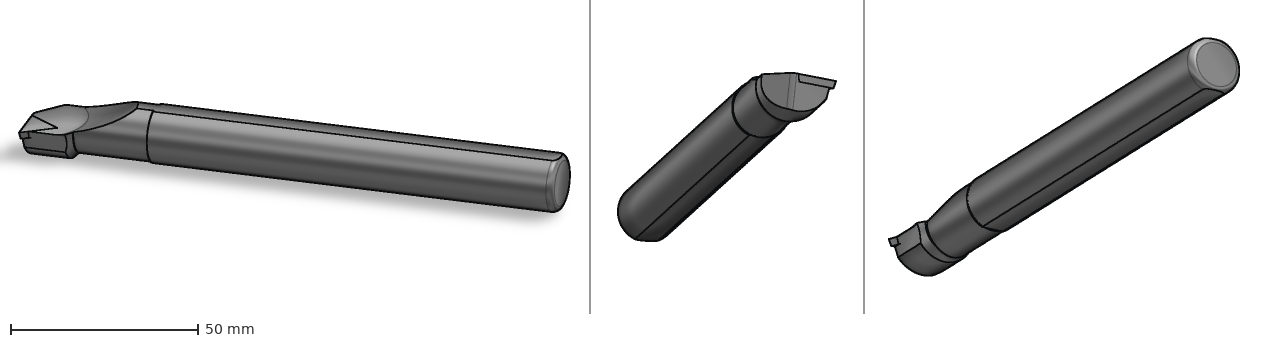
import cadquery as cq
import math

total_length = 150.0
shank_start = 35.1
shank_diameter = 16.0
flat_height = 7.4
end_round_radius = 1.8

neck_diameter = 15.5
neck_start = 10.5
head_radius = 9.0
head_center_y = -1.2
head_length = 12.3
head_cone_length = 2.0

rake_angle = 7.0
rake_height = 1.14
clearance_angle = 7.0
side_flat_y = -9.9
bevel_front_y = 0.9
bevel_back_x = 6.8
bevel_back_y = 7.6
nose_radius = 2.2

scoop_center_x = 4.2
scoop_center_y = -0.6
scoop_floor_radius = 11.1
scoop_run = 17.0
scoop_rise = 7.8
scoop_sag = 0.9

insert_side = 10.5
triangle_angle = 60.0
insert_tip_y = -11.1
insert_thickness = 2.1
insert_clearance_angle = 7.0

reach = 30.0

shank_radius = shank_diameter / 2
rake_plane = cq.Plane(
    origin=(0, 0, rake_height),
    xDir=(1, 0, 0),
    normal=(0, -math.sin(math.radians(rake_angle)), math.cos(math.radians(rake_angle))),
)


def along_x(start):
    """Sketch plane across the bar, with local x along Y and local y along Z."""
    return cq.Workplane("YZ", origin=(start, 0, 0))


def make_shank():
    length = total_length - shank_start
    bar = along_x(shank_start).circle(shank_radius).extrude(length)
    bar = bar.faces(">X").edges().fillet(end_round_radius)
    flats = along_x(shank_start).rect(2 * shank_diameter, 2 * flat_height).extrude(length)
    return bar.intersect(flats)


def make_neck():
    length = shank_start - neck_start
    bar = along_x(neck_start).circle(neck_diameter / 2).extrude(length)
    below_flat = along_x(neck_start).center(0, flat_height - reach).rect(2 * reach, 2 * reach)
    return bar.intersect(below_flat.extrude(length))


def make_head():
    cone_end_radius = head_radius - head_cone_length
    blank = (
        cq.Workplane("XY", origin=(0, head_center_y, 0))
        .polyline([
            (0, 0),
            (0, head_radius),
            (head_length, head_radius),
            (head_length + head_cone_length, cone_end_radius),
            (head_length + head_cone_length, 0),
        ])
        .close()
        .revolve(360, (0, 0, 0), (1, 0, 0))
    )
    bevel_slope = (bevel_back_y - bevel_front_y) / bevel_back_x
    outline = [
        (0, side_flat_y),
        (0, bevel_front_y),
        (reach, bevel_front_y + bevel_slope * reach),
        (reach, side_flat_y),
    ]
    below_rake = cq.Workplane(rake_plane).polyline(outline).close()
    below_rake = below_rake.extrude(-reach / 2, taper=clearance_angle)
    above_rake = cq.Workplane(rake_plane).polyline(outline).close().extrude(scoop_rise)
    front_corner = cq.selectors.NearestToPointSelector((0.8, bevel_front_y + 1.5, -reach / 4))
    below_rake = below_rake.edges(front_corner).fillet(nose_radius)
    return blank.intersect(below_rake.union(above_rake))


def make_scoop():
    """Cutter with a flat floor on the rake plane and a concave flared wall."""
    rim_radius = scoop_floor_radius + scoop_run
    chord = math.hypot(scoop_run, scoop_rise)
    middle = (
        scoop_floor_radius + scoop_run / 2 + scoop_sag * scoop_rise / chord,
        scoop_rise / 2 - scoop_sag * scoop_run / chord,
    )
    center = rake_plane.toWorldCoords((scoop_center_x, scoop_center_y, 0))
    profile_plane = cq.Plane(origin=center, xDir=(1, 0, 0), normal=rake_plane.yDir * -1)
    return (
        cq.Workplane(profile_plane)
        .lineTo(scoop_floor_radius, 0)
        .threePointArc(middle, (rim_radius, scoop_rise))
        .lineTo(0, scoop_rise)
        .close()
        .revolve(360, (0, 0, 0), (0, 1, 0))
    )


def make_insert():
    tip_y = insert_tip_y / math.cos(math.radians(rake_angle))
    corners = [
        (0, tip_y),
        (0, tip_y + insert_side),
        (insert_side * math.sin(math.radians(triangle_angle)), tip_y + insert_side / 2),
    ]
    triangle = cq.Workplane(rake_plane).polyline(corners).close()
    return triangle.extrude(-insert_thickness, taper=insert_clearance_angle)


insert = make_insert()
holder = make_shank().union(make_neck()).union(make_head()).cut(make_scoop()).cut(insert)

result = cq.Compound.makeCompound([holder.val(), insert.val()])